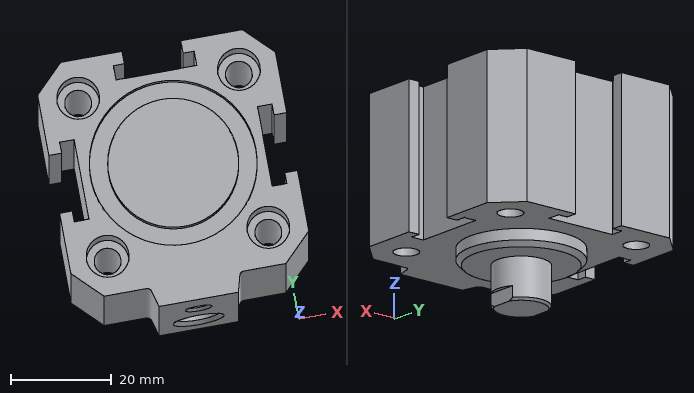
import cadquery as cq
import math

BLOCK_SIDE = 48.0
BLOCK_HEIGHT = 32.0
CORNER_CHAMFER = 5.65
HALF_SIDE = BLOCK_SIDE / 2

TOTAL_LENGTH = 52.0
PAD_PROJECTION = TOTAL_LENGTH - BLOCK_SIDE
PAD_FACE_WIDTH = 16.0
PAD_FLANK_ANGLE = 15.0
PAD_ROOT_RADIUS = 1.0

SLOT_MOUTH_WIDTH = 11.8
SLOT_INNER_WIDTH = 16.3
SLOT_LIP = 2.6
SLOT_DEPTH = 5.5

MOUNT_SPACING = 32.4
MOUNT_DIAMETER = 5.3
MOUNT_BORE_DIAMETER = 8.5
MOUNT_BORE_DEPTH = 5.5

RECESS_OUTER_DIAMETER = 33.3
RECESS_INNER_DIAMETER = 26.0
RECESS_DEPTH = 1.8

NOSE_DIAMETER = 26.0
NOSE_LENGTH = 3.5
NOSE_CHAMFER = 1.1

PORT_DIAMETER = 8.6
PORT_MOUTH_DIAMETER = 10.2
PORT_HEIGHT = 9.8
PORT_DEPTH = 8.0
BREATHER_DIAMETER = 4.15
BREATHER_MOUTH_DIAMETER = 5.3
BREATHER_HEIGHT = 22.2
BREATHER_DEPTH = 6.0

ROD_DIAMETER = 12.0
TOTAL_HEIGHT = 44.5
ROD_TIP = BLOCK_HEIGHT - TOTAL_HEIGHT
ROD_CHAMFER = 0.5
FLATS_WIDTH = 10.0
FLATS_LENGTH = 2.95
ROD_TOP = 0.0


def make_block():
    return (
        cq.Workplane("XY")
        .rect(BLOCK_SIDE, BLOCK_SIDE)
        .extrude(BLOCK_HEIGHT)
        .edges("|Z")
        .chamfer(CORNER_CHAMFER)
    )


def add_port_pad(body):
    """Add the tapered pad on the -Y face and round its two root corners."""
    half_face = PAD_FACE_WIDTH / 2
    half_root = half_face + PAD_PROJECTION * math.tan(math.radians(PAD_FLANK_ANGLE))
    pad_face_y = -HALF_SIDE - PAD_PROJECTION
    inside_y = -HALF_SIDE + SLOT_LIP
    pad = (
        cq.Workplane("XY")
        .polyline(
            [
                (-half_root, inside_y),
                (-half_root, -HALF_SIDE),
                (-half_face, pad_face_y),
                (half_face, pad_face_y),
                (half_root, -HALF_SIDE),
                (half_root, inside_y),
            ]
        )
        .close()
        .extrude(BLOCK_HEIGHT)
    )
    body = body.union(pad)
    for side in (-1, 1):
        root = (side * half_root, -HALF_SIDE, BLOCK_HEIGHT / 2)
        body = body.edges(cq.selectors.NearestToPointSelector(root)).fillet(PAD_ROOT_RADIUS)
    return body


def make_t_slot():
    """T-slot cutter for the +Y face."""
    mouth = cq.Workplane("XY").box(
        SLOT_MOUTH_WIDTH, SLOT_DEPTH, BLOCK_HEIGHT, centered=(True, False, False)
    )
    inner = cq.Workplane("XY").box(
        SLOT_INNER_WIDTH, SLOT_DEPTH - SLOT_LIP, BLOCK_HEIGHT, centered=(True, False, False)
    )
    return mouth.union(inner).translate((0, HALF_SIDE - SLOT_DEPTH, 0))


def cut_t_slots(body):
    """Cut the slots on the +Y, -X and +X faces."""
    for angle in (0, 90, -90):
        body = body.cut(make_t_slot().rotate((0, 0, 0), (0, 0, 1), angle))
    return body


def cut_mounting_holes(body):
    return (
        body.faces(">Z")
        .workplane(origin=(0, 0, BLOCK_HEIGHT))
        .rect(MOUNT_SPACING, MOUNT_SPACING, forConstruction=True)
        .vertices()
        .cboreHole(MOUNT_DIAMETER, MOUNT_BORE_DIAMETER, MOUNT_BORE_DEPTH)
    )


def cut_ring_recess(body):
    ring = (
        cq.Workplane("XY", origin=(0, 0, BLOCK_HEIGHT - RECESS_DEPTH))
        .circle(RECESS_OUTER_DIAMETER / 2)
        .circle(RECESS_INNER_DIAMETER / 2)
        .extrude(RECESS_DEPTH)
    )
    return body.cut(ring)


def add_nose(body):
    nose = (
        cq.Workplane("XY")
        .circle(NOSE_DIAMETER / 2)
        .extrude(-NOSE_LENGTH)
        .faces("<Z")
        .chamfer(NOSE_CHAMFER)
    )
    return body.union(nose)


def cut_port(body, height, diameter, mouth_diameter, depth):
    """Drill a blind port with a 45 degree mouth into the pad face."""
    radius = diameter / 2
    mouth_radius = mouth_diameter / 2
    port = (
        cq.Workplane("XY")
        .polyline(
            [
                (0, 0),
                (mouth_radius, 0),
                (radius, mouth_radius - radius),
                (radius, depth),
                (0, depth),
            ]
        )
        .close()
        .revolve(360, (0, 0), (0, 1))
    )
    return body.cut(port.translate((0, -HALF_SIDE - PAD_PROJECTION, height)))


def cut_rod_socket(body):
    socket = (
        cq.Workplane("XY", origin=(0, 0, -NOSE_LENGTH))
        .circle(ROD_DIAMETER / 2)
        .extrude(ROD_TOP + NOSE_LENGTH)
    )
    return body.cut(socket)


def make_housing():
    body = add_port_pad(make_block())
    body = cut_t_slots(body)
    body = cut_mounting_holes(body)
    body = cut_ring_recess(body)
    body = add_nose(body)
    body = cut_port(body, PORT_HEIGHT, PORT_DIAMETER, PORT_MOUTH_DIAMETER, PORT_DEPTH)
    body = cut_port(
        body, BREATHER_HEIGHT, BREATHER_DIAMETER, BREATHER_MOUTH_DIAMETER, BREATHER_DEPTH
    )
    return cut_rod_socket(body)


def make_rod():
    """Round rod with a chamfered tip and two wrench flats facing -X and +X."""
    rod = (
        cq.Workplane("XY", origin=(0, 0, ROD_TIP))
        .circle(ROD_DIAMETER / 2)
        .extrude(ROD_TOP - ROD_TIP)
        .faces("<Z")
        .chamfer(ROD_CHAMFER)
    )
    for side in (-1, 1):
        waste = cq.Workplane("XY").box(
            ROD_DIAMETER, ROD_DIAMETER, FLATS_LENGTH, centered=(True, True, False)
        )
        rod = rod.cut(waste.translate((side * (FLATS_WIDTH + ROD_DIAMETER) / 2, 0, ROD_TIP)))
    return rod


housing = make_housing()
piston_rod = make_rod()

result = cq.Compound.makeCompound([housing.val(), piston_rod.val()])